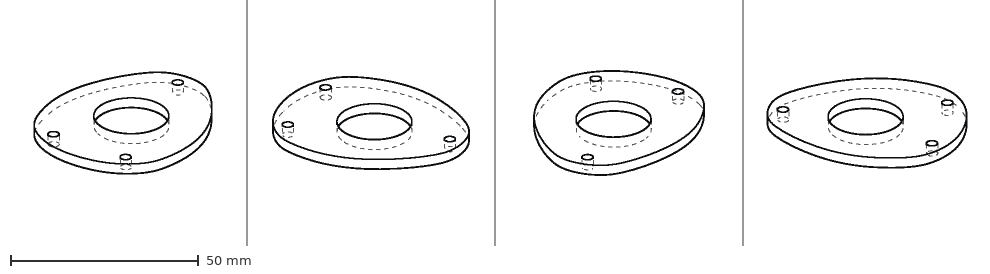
import cadquery as cq

length = 53.15
width = 44.3
thickness = 3.0
half_length = length / 2
half_width = width / 2

window_diameter = 20.0
window_y = 0.25
screw_diameter = 3.0
top_screw_y = 22.6
lower_screw_x = 11.55
lower_screw_y = -19.75

right_side = [
    (6.5, 25.15),
    (11.45, 21.05),
    (17.0, 13.35),
    (20.5, 5.7),
    (half_width, -4.25),
    (21.3, -11.6),
    (18.9, -18.0),
    (13.5, -23.1),
    (7.45, -25.65),
]


def egg_plate():
    """Flat plate with an egg outline, mirror-symmetric about the Y axis."""
    top = (0, half_length)
    bottom = (0, -half_length)
    left_side = [(-x, y) for x, y in right_side]
    outline = [bottom] + left_side[::-1] + [top] + right_side
    return cq.Workplane("XY").spline(outline, periodic=True).close().extrude(thickness)


def through_holes(centres, diameter):
    return cq.Workplane("XY").pushPoints(centres).circle(diameter / 2).extrude(thickness)


screw_centres = [
    (0, top_screw_y),
    (-lower_screw_x, lower_screw_y),
    (lower_screw_x, lower_screw_y),
]

result = (
    egg_plate()
    .cut(through_holes([(0, window_y)], window_diameter))
    .cut(through_holes(screw_centres, screw_diameter))
)